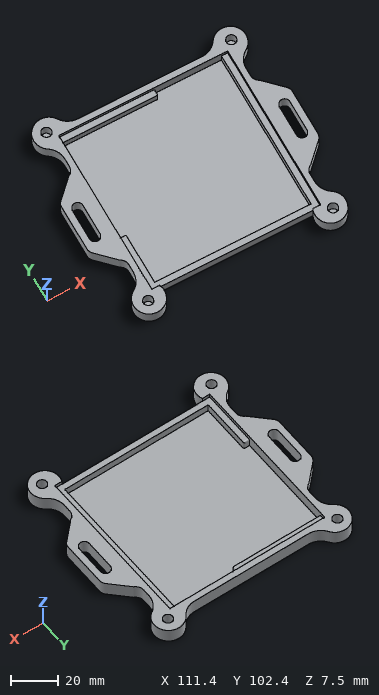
import cadquery as cq
import math

height = 7.5
overall_x = 111.4
overall_y = 102.4
lobe_radius = 7.5
body_half = overall_y / 2 - lobe_radius

wall = 3.0
ledge_width = 3.0
ledge_drop = 1.9
floor_thickness = 1.5
recess_half = body_half - wall
well_half = recess_half - ledge_width
ledge_top = height - ledge_drop

back_ledge_end_x = 5.6
left_ledge_end_y = -12.5
ledge_end_rounding = 0.8

neck_radius = 8.9
neck_run = math.sqrt((lobe_radius + neck_radius) ** 2 - neck_radius ** 2)

hole_diameter = 4.7
hole_offset = 44.6
hole_depth = height - floor_thickness

tab_half_length = 12.7
tab_base_half_length = tab_half_length + overall_x / 2 - body_half
tab_corner_radius = 4.0
tab_root_radius = 4.1
tab_root_start = 26.1

slot_length = 19.9
slot_width = 5.0
slot_offset = 49.9

signs = (-1, 1)
lobe_centers = [(sx * body_half, sy * body_half) for sx in signs for sy in signs]
hole_centers = [(sx * hole_offset, sy * hole_offset) for sx in signs for sy in signs]
slot_centers = [(sx * slot_offset, 0) for sx in signs]


def box(x_min, x_max, y_min, y_max, z_min, z_max):
    """Axis-aligned block between the given limits."""
    size = (x_max - x_min, y_max - y_min, z_max - z_min)
    return cq.Workplane("XY").box(*size, centered=False).translate((x_min, y_min, z_min))


def point_on_circle(center, radius, angle):
    return (center[0] + radius * math.cos(angle), center[1] + radius * math.sin(angle))


def make_tab():
    """Right strap tab, reaching inward to the middle of the plate."""
    root_center = (body_half + tab_root_radius, tab_root_start)
    taper_distance = (tab_root_radius + tab_root_start - tab_base_half_length) / math.sqrt(2)
    end_angle = math.radians(225) + math.acos(taper_distance / tab_root_radius)
    middle_angle = (math.pi + end_angle) / 2
    upper_half = (
        cq.Workplane("XY")
        .lineTo(overall_x / 2, 0)
        .lineTo(overall_x / 2, tab_half_length)
        .lineTo(*point_on_circle(root_center, tab_root_radius, end_angle))
        .threePointArc(
            point_on_circle(root_center, tab_root_radius, middle_angle),
            (body_half, tab_root_start),
        )
        .lineTo(0, tab_root_start)
        .close()
        .extrude(height)
    )
    upper_half = upper_half.faces(">X").edges(">Y").fillet(tab_corner_radius)
    return upper_half.union(upper_half.mirror("XZ"))


def make_lobes():
    """Round lobes centered on the four body corners."""
    return cq.Workplane("XY").pushPoints(lobe_centers).circle(lobe_radius).extrude(height)


def make_neck():
    """Filler between a lobe at the origin and a side running along +X with its outside toward +Y.

    Its concave arc is tangent to both the lobe and the side.
    """
    arc_center = (neck_run, neck_radius)
    side_angle = -math.pi / 2
    lobe_angle = math.atan2(-neck_radius, -neck_run)
    return (
        cq.Workplane("XY")
        .lineTo(neck_run, 0)
        .threePointArc(
            point_on_circle(arc_center, neck_radius, (side_angle + lobe_angle) / 2),
            point_on_circle(arc_center, neck_radius, lobe_angle),
        )
        .close()
        .extrude(height)
    )


def make_left_necks():
    """Necks of the two left lobes: both along the left side, and one along the back side."""
    back_neck = make_neck().translate((-body_half, body_half, 0))
    front_left_neck = (
        make_neck()
        .rotate((0, 0, 0), (0, 0, 1), 90)
        .translate((-body_half, -body_half, 0))
    )
    return back_neck.union(front_left_neck).union(front_left_neck.mirror("XZ"))


def make_plate():
    """Solid outline: body flush with the recess at the front, plus tabs, lobes and necks."""
    body = box(-body_half, body_half, -recess_half, body_half, 0, height)
    tab = make_tab()
    left_necks = make_left_necks()
    return (
        body.union(tab)
        .union(tab.mirror("YZ"))
        .union(make_lobes())
        .union(left_necks)
        .union(left_necks.mirror("YZ"))
    )


def round_ledge_end(ledge, end, inner):
    """Round the free end of a ledge, both over its top edge and around its inner upright edge."""
    rounded_top = ledge.faces(end).edges(">Z").fillet(ledge_end_rounding)
    rounded_corner = ledge.faces(end).edges(inner).fillet(ledge_end_rounding)
    return rounded_top.intersect(rounded_corner)


def make_recess():
    """Tray cavity: a wide upper step over a well, with the four ledges left standing."""
    step = box(-recess_half, recess_half, -recess_half, recess_half, ledge_top, height)
    well = box(-recess_half, well_half, -well_half, recess_half, floor_thickness, ledge_top)
    back_ledge = box(
        -recess_half, back_ledge_end_x, well_half, recess_half, floor_thickness, ledge_top
    )
    left_ledge = box(
        -recess_half, -well_half, -well_half, left_ledge_end_y, floor_thickness, ledge_top
    )
    well = well.cut(round_ledge_end(back_ledge, ">X", "<Y"))
    well = well.cut(round_ledge_end(left_ledge, ">Y", ">X"))
    return step.union(well)


def make_slots():
    """Through slots for the strap."""
    return (
        cq.Workplane("XY")
        .pushPoints(slot_centers)
        .slot2D(slot_length, slot_width, 90)
        .extrude(height)
    )


def make_holes():
    """Blind holes sunk from the top of the lobes."""
    return (
        cq.Workplane("XY")
        .workplane(offset=height)
        .pushPoints(hole_centers)
        .circle(hole_diameter / 2)
        .extrude(-hole_depth)
    )


result = make_plate().cut(make_recess()).cut(make_slots()).cut(make_holes())